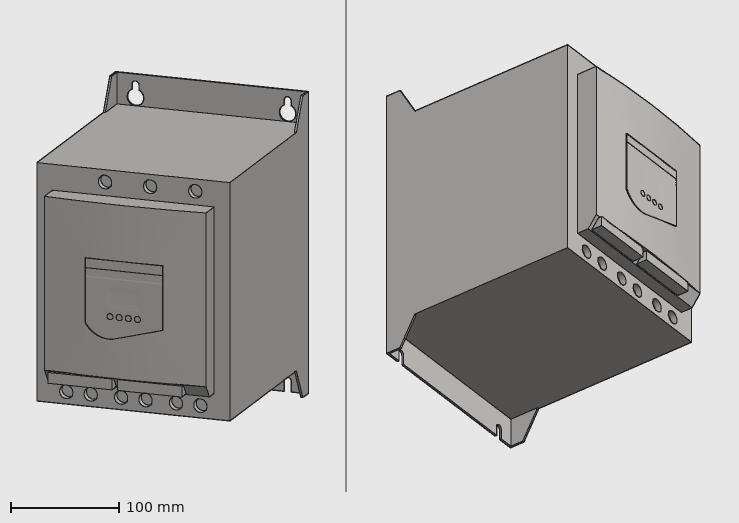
import cadquery as cq

HOUSING_WIDTH = 190.0
HOUSING_HEIGHT = 229.0
HOUSING_DEPTH = 209.5
BRACKET_HEIGHT = 290.0
SHEET = 2.0
FLANGE_TIP_DEPTH = 15.7
FLANGE_ROOT_DEPTH = 32.8

MOUNT_SPACING = 149.5
MOUNT_SLOT_WIDTH = 7.0
KEYHOLE_DIAMETER = 16.2
KEYHOLE_Z = 122.7
KEYHOLE_TOP_Z = 138.3
OPEN_SLOT_END_Z = -131.0

SCREW_HOLE_DIAMETER = 13.0
SCREW_HOLE_DEPTH = 6.7
SCREW_HOLE_Z = 102.7
UPPER_HOLE_PITCH = 44.5
UPPER_ROW_CENTER_X = 16.5
LOWER_PAIR_PITCH = 54.0
LOWER_PAIR_SPACING = 24.0

COVER_WIDTH = 159.0
COVER_HEIGHT = 179.2
COVER_EDGE_DEPTH = 230.8
COVER_CROWN_DEPTH = 234.5
CHAMFER_HEIGHT = 12.2
CHAMFER_DEPTH = 9.3

TERMINAL_WIDTH = 63.2
TERMINAL_HEIGHT = 10.5
TERMINAL_GAP = 5.5
TERMINAL_TOP_Z = -78.3
TERMINAL_LEFT_X = -75.0
TERMINAL_FRONT_DEPTH = 233.7

KEYPAD_FRONT_DEPTH = 235.0
KEYPAD_WIDTH = 76.0
KEYPAD_TOP_Z = 35.7
KEYPAD_SIDE_END_Z = -26.5
KEYPAD_ARC_MIDDLE = (-28.7, -36.0)
KEYPAD_ARC_END = (-10.7, -39.7)
RELIEF = 0.15

BAND_TOP_Z = 26.5
BAND_BOTTOM_Z = 18.5
BAND_RAMP = 1.2
SCREEN_WIDTH = 24.0
SCREEN_HEIGHT = 10.5
BEZEL_WIDTH = 35.0
BEZEL_HEIGHT = 21.8
BUTTON_DIAMETER = 5.8
BUTTON_PITCH = 9.0
BUTTON_COUNT = 4
BUTTON_Z = -18.3

COVER_BOTTOM_Z = -COVER_HEIGHT / 2
BOW_BOTTOM_Z = COVER_BOTTOM_Z + CHAMFER_HEIGHT


def front_plane(depth):
    """XZ sketch plane at a distance from the back; extruding goes toward the front."""
    return cq.Workplane("XZ", origin=(0, -depth, 0))


def side_flange(left_x):
    """One side of the bracket, tapering from the box to both ends."""
    tip_z = BRACKET_HEIGHT / 2
    root_z = HOUSING_HEIGHT / 2
    outline = [
        (0, tip_z),
        (-FLANGE_TIP_DEPTH, tip_z),
        (-FLANGE_ROOT_DEPTH, root_z),
        (-FLANGE_ROOT_DEPTH, -root_z),
        (-FLANGE_TIP_DEPTH, -tip_z),
        (0, -tip_z),
    ]
    return cq.Workplane("YZ", origin=(left_x, 0, 0)).polyline(outline).close().extrude(SHEET)


def mounting_cutters(x):
    """Keyhole at the top and open slot at the bottom, at one X position."""
    slot_radius = MOUNT_SLOT_WIDTH / 2
    keyhole = front_plane(0).center(x, KEYHOLE_Z).circle(KEYHOLE_DIAMETER / 2).extrude(SHEET)
    for round_z, square_end_z in (
        (KEYHOLE_TOP_Z - slot_radius, KEYHOLE_Z),
        (OPEN_SLOT_END_Z - slot_radius, -BRACKET_HEIGHT / 2),
    ):
        slot = (
            front_plane(0)
            .moveTo(x - slot_radius, square_end_z)
            .lineTo(x - slot_radius, round_z)
            .threePointArc((x, round_z + slot_radius), (x + slot_radius, round_z))
            .lineTo(x + slot_radius, square_end_z)
            .close()
            .extrude(SHEET)
        )
        keyhole = keyhole.union(slot)
    return keyhole


def make_bracket():
    bracket = front_plane(0).rect(HOUSING_WIDTH, BRACKET_HEIGHT).extrude(SHEET)
    for x in (-MOUNT_SPACING / 2, MOUNT_SPACING / 2):
        bracket = bracket.cut(mounting_cutters(x))
    for left_x in (-HOUSING_WIDTH / 2, HOUSING_WIDTH / 2 - SHEET):
        bracket = bracket.union(side_flange(left_x))
    return bracket


def make_screw_holes():
    """Blind holes in the front: a row of three above and three pairs below."""
    centers = []
    for step in (-1, 0, 1):
        pair_x = step * LOWER_PAIR_PITCH
        centers.append((UPPER_ROW_CENTER_X + step * UPPER_HOLE_PITCH, SCREW_HOLE_Z))
        centers.append((pair_x - LOWER_PAIR_SPACING / 2, -SCREW_HOLE_Z))
        centers.append((pair_x + LOWER_PAIR_SPACING / 2, -SCREW_HOLE_Z))
    return (
        front_plane(HOUSING_DEPTH)
        .pushPoints(centers)
        .circle(SCREW_HOLE_DIAMETER / 2)
        .extrude(-SCREW_HOLE_DEPTH)
    )


def make_housing():
    box = front_plane(0).rect(HOUSING_WIDTH, HOUSING_HEIGHT).extrude(HOUSING_DEPTH)
    return box.union(make_bracket()).cut(make_screw_holes())


def make_cover_block():
    """Flat-fronted block with a large chamfer along its bottom front edge."""
    top_z = COVER_HEIGHT / 2
    profile = [
        (-HOUSING_DEPTH, top_z),
        (-COVER_EDGE_DEPTH, top_z),
        (-COVER_EDGE_DEPTH, BOW_BOTTOM_Z),
        (-COVER_EDGE_DEPTH + CHAMFER_DEPTH, COVER_BOTTOM_Z),
        (-HOUSING_DEPTH, COVER_BOTTOM_Z),
    ]
    return cq.Workplane("YZ").polyline(profile).close().extrude(COVER_WIDTH / 2, both=True)


def make_bow():
    """Bowed front of the cover, ending level with the top of the chamfer."""
    half_width = COVER_WIDTH / 2
    return (
        cq.Workplane("XY", origin=(0, 0, BOW_BOTTOM_Z))
        .moveTo(-half_width, -COVER_EDGE_DEPTH)
        .threePointArc((0, -COVER_CROWN_DEPTH), (half_width, -COVER_EDGE_DEPTH))
        .close()
        .extrude(COVER_HEIGHT - CHAMFER_HEIGHT)
    )


def make_terminal(left_x):
    """Terminal block filling the chamfer out to a flat front."""
    back_depth = COVER_EDGE_DEPTH - CHAMFER_DEPTH
    return (
        front_plane(back_depth)
        .center(left_x + TERMINAL_WIDTH / 2, TERMINAL_TOP_Z - TERMINAL_HEIGHT / 2)
        .rect(TERMINAL_WIDTH, TERMINAL_HEIGHT)
        .extrude(TERMINAL_FRONT_DEPTH - back_depth)
    )


def make_band():
    """Shallow band across the keypad, with a ramp along its lower edge."""
    profile = [
        (-KEYPAD_FRONT_DEPTH, BAND_TOP_Z),
        (-KEYPAD_FRONT_DEPTH + RELIEF, BAND_TOP_Z),
        (-KEYPAD_FRONT_DEPTH + RELIEF, BAND_BOTTOM_Z),
        (-KEYPAD_FRONT_DEPTH, BAND_BOTTOM_Z - BAND_RAMP),
    ]
    return cq.Workplane("YZ").polyline(profile).close().extrude(KEYPAD_WIDTH / 2, both=True)


def make_screen_recess():
    """Recess with sloping sides around the screen."""
    return (
        front_plane(KEYPAD_FRONT_DEPTH)
        .rect(BEZEL_WIDTH, BEZEL_HEIGHT)
        .workplane(offset=-RELIEF)
        .rect(SCREEN_WIDTH, SCREEN_HEIGHT)
        .loft(ruled=True)
    )


def make_button_recesses():
    first_x = -BUTTON_PITCH * (BUTTON_COUNT - 1) / 2
    centers = [(first_x + i * BUTTON_PITCH, BUTTON_Z) for i in range(BUTTON_COUNT)]
    return (
        front_plane(KEYPAD_FRONT_DEPTH)
        .pushPoints(centers)
        .circle(BUTTON_DIAMETER / 2)
        .extrude(-RELIEF)
    )


def make_keypad():
    half_width = KEYPAD_WIDTH / 2
    panel = (
        front_plane(COVER_EDGE_DEPTH)
        .moveTo(-half_width, KEYPAD_TOP_Z)
        .lineTo(-half_width, KEYPAD_SIDE_END_Z)
        .threePointArc(KEYPAD_ARC_MIDDLE, KEYPAD_ARC_END)
        .lineTo(half_width, KEYPAD_SIDE_END_Z)
        .lineTo(half_width, KEYPAD_TOP_Z)
        .close()
        .extrude(KEYPAD_FRONT_DEPTH - COVER_EDGE_DEPTH)
    )
    return panel.cut(make_band()).cut(make_screen_recess()).cut(make_button_recesses())


def make_cover():
    cover = make_cover_block().union(make_bow())
    for index in range(2):
        left_x = TERMINAL_LEFT_X + index * (TERMINAL_WIDTH + TERMINAL_GAP)
        cover = cover.union(make_terminal(left_x))
    return cover.union(make_keypad())


housing = make_housing()
cover = make_cover()
result = cq.Compound.makeCompound([housing.val(), cover.val()])